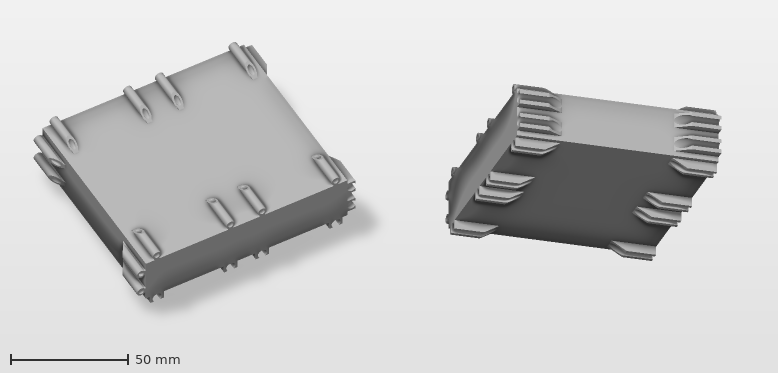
import cadquery as cq
import math

length_x = 90.0
edge_margin = 5.5
outer_pair_spacing = 36.0
middle_spacing = 15.5
side_row_spacing = 11.0
depth_y = 2 * edge_margin + 2 * outer_pair_spacing + middle_spacing
height_z = 2 * edge_margin + side_row_spacing

socket_diameter = 4.5
clip_height = 3.945
clip_width = 6.5
axis_height = socket_diameter / 2
tube_diameter = 4.15
bore_diameter = 2.5
web_width = 2.5
tube_top = axis_height + tube_diameter / 2

reach = 20.0
nose_angle = 30.0

hole_diameter = 8.3
hole_depth = 3.0
hole_y = -0.75

row_outer = middle_spacing / 2 + outer_pair_spacing
row_inner = middle_spacing / 2
face_rows = [-row_outer, -row_inner, row_inner, row_outer]
side_rows = [-side_row_spacing / 2, side_row_spacing / 2]


def nose_wedge(height, width):
    """Side profile with a sloped inner end, starting at the -X end and standing on z = 0."""
    top_reach = reach - height / math.tan(math.radians(nose_angle))
    profile = [(0, 0), (reach, 0), (top_reach, height), (0, height)]
    return (
        cq.Workplane("XZ", origin=(-length_x / 2, 0, 0))
        .polyline(profile)
        .close()
        .extrude(width / 2, both=True)
    )


def end_rod(diameter):
    """Cylinder along X from the -X end, on the common tube and socket axis."""
    return (
        cq.Workplane("YZ", origin=(-length_x / 2, 0, axis_height))
        .circle(diameter / 2)
        .extrude(reach)
    )


def make_tube():
    """Bored tube on a narrow web, cut to the sloped nose."""
    web = cq.Workplane("XY").box(reach, web_width, axis_height, centered=(False, True, False))
    web = web.translate((-length_x / 2, 0, 0))
    body = end_rod(tube_diameter).union(web).cut(end_rod(bore_diameter))
    return body.intersect(nose_wedge(tube_top, tube_diameter))


def make_clip():
    """Open C-shaped clip with a sloped nose."""
    return nose_wedge(clip_height, clip_width).cut(end_rod(socket_diameter))


def place_row(feature, turn, face_distance, row):
    """Set a feature and its mirror image on a face; turn is the face angle about X from +Z."""
    pair = feature.union(feature.mirror("YZ"))
    return pair.translate((0, row, face_distance)).rotate((0, 0, 0), (1, 0, 0), turn)


def make_block():
    """Plain block with the blind hole in its -X face."""
    hole = (
        cq.Workplane("YZ", origin=(-length_x / 2, hole_y, 0))
        .circle(hole_diameter / 2)
        .extrude(hole_depth)
    )
    return cq.Workplane("XY").box(length_x, depth_y, height_z).cut(hole)


result = make_block()
tube = make_tube()
clip = make_clip()

for row in face_rows:
    result = result.union(place_row(tube, 0, height_z / 2, row))
    result = result.union(place_row(clip, 180, height_z / 2, row))

for row in side_rows:
    result = result.union(place_row(tube, 90, depth_y / 2, row))
    result = result.union(place_row(clip, -90, depth_y / 2, row))